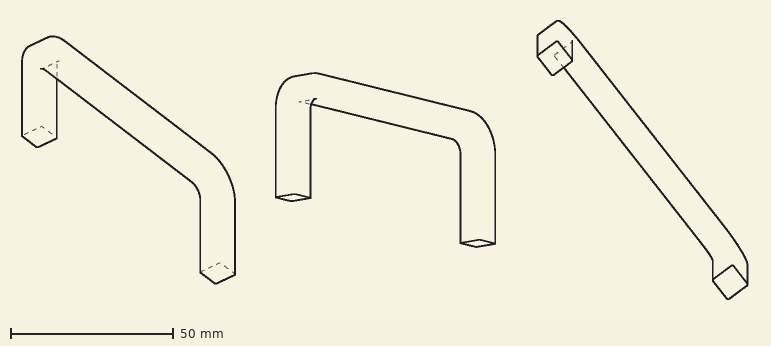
import cadquery as cq

length = 97.0
bar = 8.0
height = 40.0
outer_radius = 12.0
inner_radius = outer_radius - bar
edge_radius = 0.5


def arch(width, top, bend_radius):
    """Solid block standing on Z = 0 with its two upper corners rounded."""
    block = cq.Workplane("XY").box(width, bar, top, centered=(True, True, False))
    return block.edges("|Y and >Z").fillet(bend_radius)


outer_arch = arch(length, height, outer_radius)
opening = arch(length - 2 * bar, height - bar, inner_radius)
handle = outer_arch.cut(opening)

result = handle.faces("<Y or >Y").edges("not <Z").fillet(edge_radius)